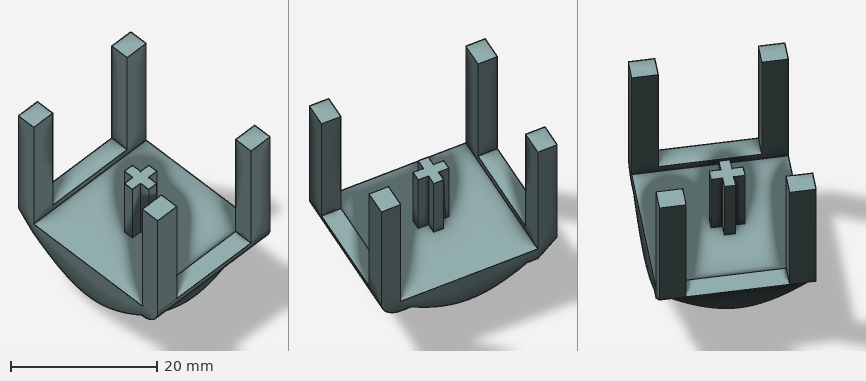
import cadquery as cq

length_x = 27.0
width_y = 21.7
height = 29.0

wall = 3.0
floor_bottom = 7.0
floor_top = 9.0
rail_top = floor_bottom + wall
post_width_y = 3.68
inner_x = length_x - 2 * wall

axis_y = -0.7
belly_base_radius = 7.57
belly_top_radius = belly_base_radius + floor_bottom

cross_span = 4.7
cross_arm = 1.55
stem_top = 19.0


def box(size_x, size_y, bottom, top, center_y=0):
    """Box centred on x = 0 between two heights."""
    return (
        cq.Workplane("XY", origin=(0, center_y, bottom))
        .rect(size_x, size_y)
        .extrude(top - bottom)
    )


def make_tray():
    """U-shaped frame, bevelled on the -X lower edge and rounded on the +X lower edge."""
    tray = box(length_x, width_y, floor_bottom, height)
    tray = tray.edges("|Y and <Z and <X").chamfer(wall)
    tray = tray.edges("|Y and <Z and >X").fillet(wall)
    tray = tray.cut(box(inner_x, width_y, floor_top, height))
    return tray.cut(box(length_x, width_y - 2 * post_width_y, rail_top, height))


def make_belly():
    """Upward-opening cone trimmed to the rectangle under the floor."""
    cone = cq.Workplane("XY").add(
        cq.Solid.makeCone(
            belly_base_radius, belly_top_radius, floor_bottom, pnt=cq.Vector(0, axis_y, 0)
        )
    )
    return cone.intersect(box(inner_x, width_y, 0, floor_bottom))


def make_stem():
    """Cross-shaped stem standing on the floor."""
    bar_x = box(cross_span, cross_arm, floor_top, stem_top, axis_y)
    bar_y = box(cross_arm, cross_span, floor_top, stem_top, axis_y)
    return bar_x.union(bar_y)


result = make_tray().union(make_belly()).union(make_stem())